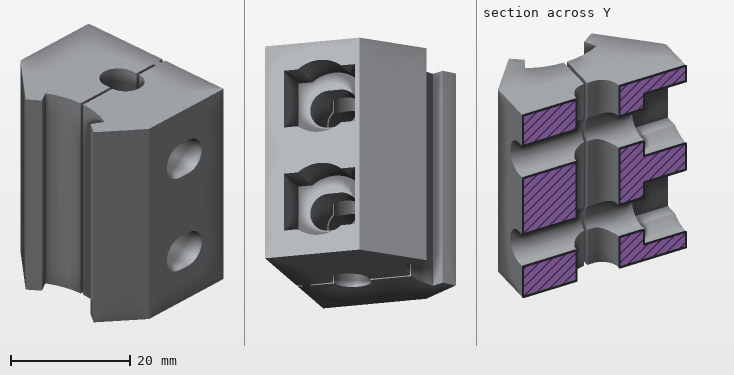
import cadquery as cq

height = 37.0
depth = 25.35
left_side = -17.3
width = 31.1
right_side = left_side + width

left_chamfer_y = -16.65
right_chamfer_y = -18.15
jaw_tip_x = 7.85
jaw_lip_x = 5.62
jaw_lip_y = -23.75
seat_end_x = 6.85
seat_end_y = -21.6
seat_top_y = -19.95

slit_width = 0.6
groove_depth = 0.92
web_thickness = 1.25

hole_y = -9.6
bore_diameter = 6.4
bore_length = 8.05
bore_x = -0.55
bolt_hole_diameter = 6.45
bolt_hole_length = 8.47
bolt_z_positions = (9.5, 27.5)

pocket_depth = 7.95
pocket_diameter = 12.55
pocket_height = 9.9

pin_diameter = 2.15
pin_y = -17.1
pin_end_distance = 3.48
pin_embed = 0.37


def make_body():
    """Extrude the outer profile with the tube seat between the jaws."""
    return (
        cq.Workplane("XY")
        .moveTo(left_side, 0)
        .lineTo(right_side, 0)
        .lineTo(right_side, right_chamfer_y)
        .lineTo(jaw_tip_x, -depth)
        .lineTo(jaw_lip_x, jaw_lip_y)
        .lineTo(seat_end_x, seat_end_y)
        .threePointArc((0, seat_top_y), (-seat_end_x, seat_end_y))
        .lineTo(-jaw_lip_x, jaw_lip_y)
        .lineTo(-jaw_tip_x, -depth)
        .lineTo(left_side, left_chamfer_y)
        .close()
        .extrude(height)
    )


def make_slit():
    """Full-height slit from the web to the seat, plus the groove behind the web."""
    slit_start = groove_depth + web_thickness
    slit = cq.Workplane("XY").box(
        slit_width, depth - slit_start, height, centered=(True, False, False)
    ).translate((0, -depth, 0))
    groove = cq.Workplane("XY").box(
        slit_width, groove_depth, height, centered=(True, False, False)
    ).translate((0, -groove_depth, 0))
    return slit.union(groove)


def make_bore():
    """Elongated hole through the full height."""
    return (
        cq.Workplane("XY")
        .center(bore_x, hole_y)
        .slot2D(bore_length, bore_diameter)
        .extrude(height)
    )


def make_bolt_hole(z):
    """Elongated cross hole through the full width, with its pocket in the left side."""
    side = cq.Workplane("YZ", origin=(left_side, hole_y, z))
    hole = side.slot2D(bolt_hole_length, bolt_hole_diameter).extrude(width)
    round_pocket = side.circle(pocket_diameter / 2).extrude(pocket_depth)
    square_pocket = side.rect(pocket_diameter, pocket_height).extrude(pocket_depth)
    return hole.union(round_pocket).union(square_pocket)


def make_pin(z):
    """Pin across the slit, with its ends sunk into both halves."""
    pin_length = slit_width + 2 * pin_embed
    return (
        cq.Workplane("YZ", origin=(-pin_length / 2, pin_y, z))
        .circle(pin_diameter / 2)
        .extrude(pin_length)
    )


result = make_body().cut(make_slit()).cut(make_bore())

for bolt_z in bolt_z_positions:
    result = result.cut(make_bolt_hole(bolt_z))

for pin_z in (pin_end_distance, height - pin_end_distance):
    result = result.union(make_pin(pin_z))